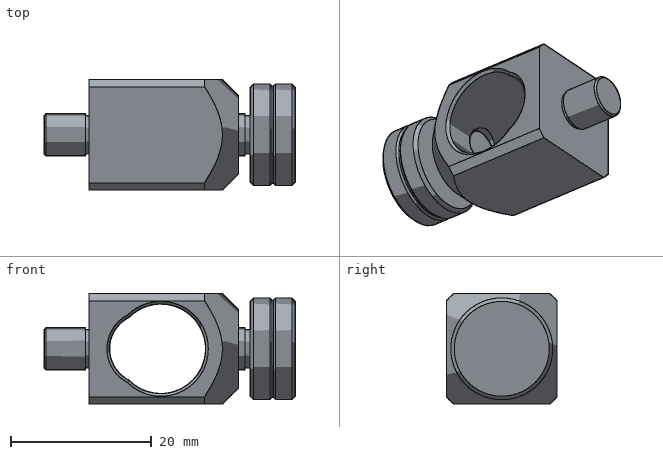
import cadquery as cq


block_width = 15.75
block_length = 21.3
corner_radius = 10.42
nose_radius = 5.57
nose_cone_length = corner_radius - nose_radius

thread_radius = 3.0
thread_chamfer = 0.25
relief_radius = 2.75

stud_length = 6.35
stud_relief_length = 0.5

main_bore_x = 10.24
main_bore_radius = 6.35
seat_bore_x = 7.97
seat_bore_radius = 5.0
bore_chamfer = 0.4

screw_tip_x = 16.7
screw_exposed_thread = 0.9
screw_relief_x = block_length + screw_exposed_thread

knob_x = 22.95
knob_length = 6.41
knob_radius = 7.25
knob_chamfer = 0.5
knob_groove_width = 0.85
knob_groove_depth = 0.3


def revolve_about_x(points):
    """Solid of revolution about X from (x, radius) points; the ends lie on the axis."""
    return cq.Workplane("XY").polyline(points).close().revolve(360, (0, 0, 0), (1, 0, 0))


def make_block():
    bar = cq.Workplane("YZ").rect(block_width, block_width).extrude(block_length)
    envelope = revolve_about_x([
        (0, 0),
        (0, corner_radius),
        (block_length - nose_cone_length, corner_radius),
        (block_length, nose_radius),
        (block_length, 0),
    ])
    return bar.intersect(envelope)


def make_stud():
    return revolve_about_x([
        (-stud_length, 0),
        (-stud_length, thread_radius - thread_chamfer),
        (-stud_length + thread_chamfer, thread_radius),
        (-stud_relief_length, thread_radius),
        (-stud_relief_length, relief_radius),
        (0, relief_radius),
        (0, 0),
    ])


def bore_cutter(center_x, radius):
    """Through bore along Y with a 45 degree chamfer at both mouths."""
    half_width = block_width / 2
    mouth_radius = radius + bore_chamfer
    profile = [
        (0, -half_width),
        (mouth_radius, -half_width),
        (radius, -half_width + bore_chamfer),
        (radius, half_width - bore_chamfer),
        (mouth_radius, half_width),
        (0, half_width),
    ]
    cutter = cq.Workplane("XY").polyline(profile).close().revolve(360, (0, 0, 0), (0, 1, 0))
    return cutter.translate((center_x, 0, 0))


def make_housing():
    screw_hole = (
        cq.Workplane("YZ", origin=(main_bore_x, 0, 0))
        .circle(thread_radius)
        .extrude(block_length - main_bore_x)
    )
    return (
        make_block()
        .union(make_stud())
        .cut(bore_cutter(main_bore_x, main_bore_radius))
        .cut(bore_cutter(seat_bore_x, seat_bore_radius))
        .cut(screw_hole)
    )


def make_clamping_screw():
    knob_end_x = knob_x + knob_length
    groove_x = knob_x + knob_length / 2
    groove_start_x = groove_x - knob_groove_width / 2
    groove_end_x = groove_x + knob_groove_width / 2
    groove_floor_radius = knob_radius - knob_groove_depth
    return revolve_about_x([
        (screw_tip_x, 0),
        (screw_tip_x, thread_radius - thread_chamfer),
        (screw_tip_x + thread_chamfer, thread_radius),
        (screw_relief_x, thread_radius),
        (screw_relief_x, relief_radius),
        (knob_x, relief_radius),
        (knob_x, knob_radius - knob_chamfer),
        (knob_x + knob_chamfer, knob_radius),
        (groove_start_x, knob_radius),
        (groove_start_x + knob_groove_depth, groove_floor_radius),
        (groove_end_x - knob_groove_depth, groove_floor_radius),
        (groove_end_x, knob_radius),
        (knob_end_x - knob_chamfer, knob_radius),
        (knob_end_x, knob_radius - knob_chamfer),
        (knob_end_x, 0),
    ])


housing = make_housing()
clamping_screw = make_clamping_screw()

result = cq.Compound.makeCompound([housing.val(), clamping_screw.val()])